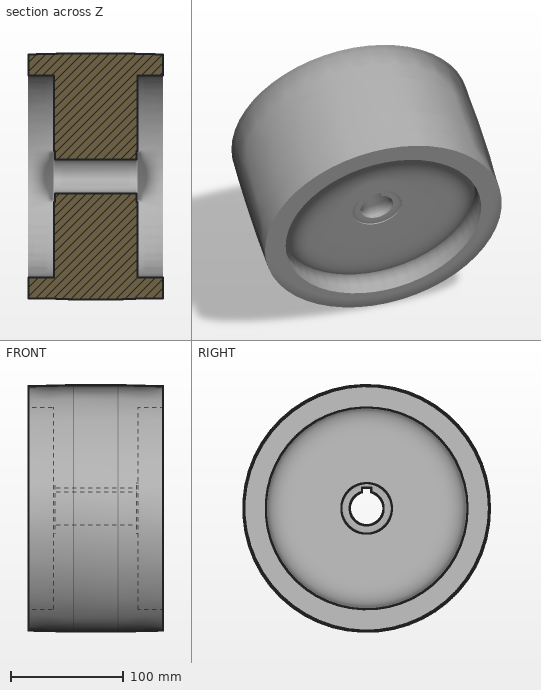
import cadquery as cq

width = 120.0
crown_diameter = 220.0
end_diameter = 218.0
band_width = width / 3

recess_diameter = 180.0
recess_depth = 22.5
hub_diameter = 45.0
hub_setback = 1.0

bore_diameter = 30.0
keyway_width = 8.0
keyway_top = 18.3


def disc(diameter, start, length):
    """Cylinder on the X axis, running from start in the +X direction."""
    return cq.Workplane("YZ", origin=(start, 0, 0)).circle(diameter / 2).extrude(length)


rim = (
    cq.Workplane("XY")
    .moveTo(-width / 2, 0)
    .lineTo(-width / 2, end_diameter / 2)
    .lineTo(-band_width / 2, crown_diameter / 2)
    .lineTo(band_width / 2, crown_diameter / 2)
    .lineTo(width / 2, end_diameter / 2)
    .lineTo(width / 2, 0)
    .close()
    .revolve(360, (0, 0, 0), (1, 0, 0))
)

web_width = width - 2 * recess_depth
body = rim
for start in (-width / 2, web_width / 2):
    body = body.cut(disc(recess_diameter, start, recess_depth))

for start in (-web_width / 2, web_width / 2 - hub_setback):
    body = body.cut(disc(hub_diameter, start, hub_setback))

bore = disc(bore_diameter, -width / 2, width)
keyway = cq.Workplane("XY").box(width, keyway_width, keyway_top, centered=(True, True, False))
result = body.cut(bore).cut(keyway)